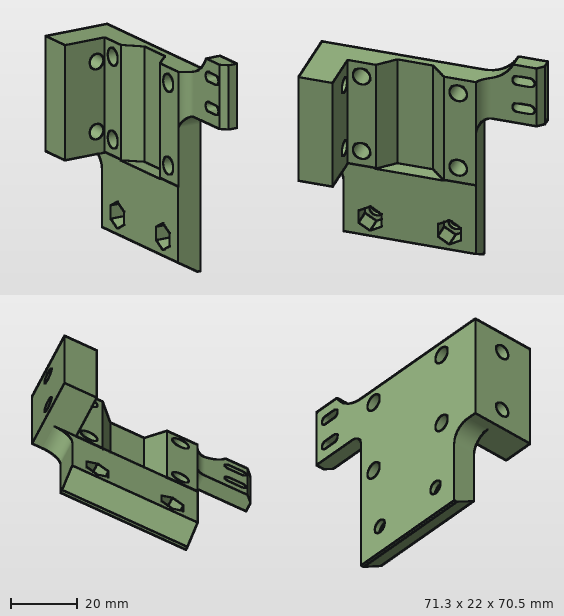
import cadquery as cq
import math

length = 71.35
height = 70.5
wall_depth = 22.0
wall_width = 10.8
body_right = 51.3
body_bottom = 27.7
body_top = 63.85
face_step = 0.15
lip_height = 0.25

lower_thickness = 8.0
body_thickness = lower_thickness - face_step
lower_left = 9.5
corner_radius = 6.0
bevel_height = 4.0
bevel_depth = bevel_height * math.tan(math.radians(60))

groove_center = 30.4
groove_floor_width = 11.3
groove_floor_thickness = 2.8
groove_mouth_width = groove_floor_width + 2 * (lower_thickness - groove_floor_thickness)
mount_middle = 45.95
mount_diameter = 5.5
mount_spacing_x = 30.5
mount_spacing_z = 26.0

screw_diameter = 4.5
screw_spacing = 25
screw_z = 10
nut_flats = 7.3
nut_depth = 6.0

cross_diameter = 4.85
cross_spacing = 22.0
cross_y = -10.8

arm_thickness = 5
arm_bottom = 50.3
arm_fillet = 4.0
arm_sweep_radius = 12.0
arm_chamfer = 2.0
slot_length = 7.0
slot_width = 3.0
slot_center = 65.3
slot_spacing = 9.4


def circle_arc_drop(radius, offset):
    """Distance a circle falls from its tangent line at an offset from the tangent point."""
    return radius - math.sqrt(radius**2 - offset**2)


def box(x_range, depth, z_range):
    """Block reaching forward from the back face."""
    return cq.Workplane("XY").box(
        x_range[1] - x_range[0], depth, z_range[1] - z_range[0], centered=False
    ).translate((x_range[0], -depth, z_range[0]))


def front_plane():
    """Sketch plane on the back face; positive extrusion goes toward the front."""
    return cq.Workplane("XZ")


def make_body():
    plate = box((0, body_right), body_thickness, (body_bottom, body_top))
    wall = box((0, wall_width), wall_depth, (body_bottom, body_top))
    groove = (
        cq.Workplane("XY", origin=(groove_center, 0, body_bottom))
        .moveTo(-groove_floor_width / 2, -groove_floor_thickness)
        .lineTo(groove_floor_width / 2, -groove_floor_thickness)
        .lineTo(groove_mouth_width / 2, -lower_thickness)
        .lineTo(-groove_mouth_width / 2, -lower_thickness)
        .close()
        .extrude(body_top - body_bottom)
    )
    lip = box((0, body_right), lower_thickness, (body_bottom, body_bottom + lip_height))
    return plate.union(lip).cut(groove).union(wall)


def make_lower_plate():
    plate = (
        front_plane()
        .moveTo(lower_left, 0)
        .lineTo(body_right, 0)
        .lineTo(body_right, body_bottom)
        .lineTo(lower_left - corner_radius, body_bottom)
        .radiusArc((lower_left, body_bottom - corner_radius), corner_radius)
        .close()
        .extrude(lower_thickness)
    )
    bevel = (
        cq.Workplane("YZ")
        .moveTo(-lower_thickness, 0)
        .lineTo(-lower_thickness + bevel_depth, 0)
        .lineTo(-lower_thickness, bevel_height)
        .close()
        .extrude(length)
    )
    return plate.cut(bevel)


def make_arm():
    sweep_height = height - body_top
    sweep_end = body_right + math.sqrt(arm_sweep_radius**2 - (arm_sweep_radius - sweep_height) ** 2)
    outline = (
        front_plane()
        .moveTo(body_right, body_top)
        .radiusArc((sweep_end, height), -arm_sweep_radius)
        .lineTo(length, height)
        .lineTo(length, arm_bottom)
        .lineTo(body_right + arm_fillet, arm_bottom)
        .radiusArc((body_right, arm_bottom - arm_fillet), -arm_fillet)
        .close()
        .extrude(body_thickness)
    )
    step = body_thickness - arm_thickness
    fillet_run = math.sqrt(arm_fillet**2 - (arm_fillet - step) ** 2)
    half_run = fillet_run / 2
    half_drop = circle_arc_drop(arm_fillet, half_run)
    section = (
        cq.Workplane("XY")
        .moveTo(body_right, 0)
        .lineTo(length, 0)
        .lineTo(length, -arm_thickness + arm_chamfer)
        .lineTo(length - arm_chamfer, -arm_thickness)
        .lineTo(body_right + fillet_run, -arm_thickness)
        .threePointArc((body_right + half_run, -arm_thickness - half_drop), (body_right, -body_thickness))
        .close()
        .extrude(height)
    )
    slots = (
        front_plane()
        .center(slot_center, (arm_bottom + height) / 2)
        .rarray(0.7, slot_spacing, 1, 2)
        .slot2D(slot_length, slot_width)
        .extrude(arm_thickness)
    )
    return outline.intersect(section).cut(slots)


def mounting_holes():
    return (
        front_plane()
        .center(groove_center, mount_middle)
        .rarray(mount_spacing_x, mount_spacing_z, 2, 2)
        .circle(mount_diameter / 2)
        .extrude(body_thickness)
    )


def nut_holes():
    holes = (
        front_plane()
        .center(groove_center, screw_z)
        .rarray(screw_spacing, 0.7, 2, 1)
        .circle(screw_diameter / 2)
        .extrude(lower_thickness)
    )
    pocket = (
        front_plane()
        .polygon(6, nut_flats / math.cos(math.pi / 6))
        .extrude(nut_depth)
        .rotate((0, 0, 0), (0, 1, 0), 30)
    )
    for side in (-1, 1):
        pocket_x = groove_center + side * screw_spacing / 2
        holes = holes.union(pocket.translate((pocket_x, nut_depth - lower_thickness, screw_z)))
    return holes


def cross_holes():
    return (
        cq.Workplane("YZ")
        .center(cross_y, (body_bottom + body_top) / 2)
        .rarray(0.7, cross_spacing, 1, 2)
        .circle(cross_diameter / 2)
        .extrude(wall_width)
    )


result = make_body().union(make_lower_plate()).union(make_arm())
result = result.cut(mounting_holes()).cut(nut_holes()).cut(cross_holes())